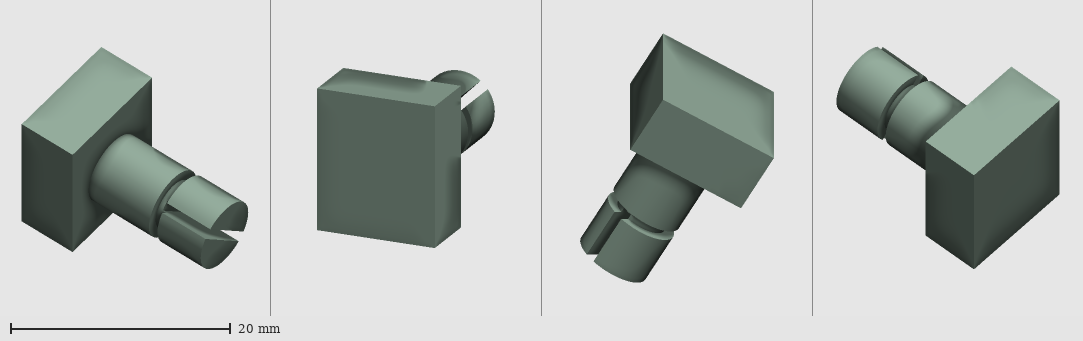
import cadquery as cq

total_length = 18.9
block_length = 5.9
block_width = 11.7
block_height = 13.75
block_rise = 0.38

pin_diameter = 7.0
neck_diameter = 5.0
neck_length = 1.0
head_length = 5.0

slot_width = 1.0
slot_tilt = 45.0

head_start = total_length - head_length
neck_start = head_start - neck_length
slot_start = head_start - neck_length / 2


def cylinder(start, end, diameter):
    """Cylinder on the pin axis between two X positions."""
    return cq.Workplane("YZ", origin=(start, 0, 0)).circle(diameter / 2).extrude(end - start)


block = cq.Workplane("XY").box(block_length, block_width, block_height).translate(
    (block_length / 2, 0, block_rise)
)
shank = cylinder(block_length, neck_start, pin_diameter)
neck = cylinder(neck_start, head_start, neck_diameter)
head = cylinder(head_start, total_length, pin_diameter)

slot = (
    cq.Workplane("YZ", origin=(slot_start, 0, 0))
    .rect(slot_width, 2 * pin_diameter)
    .extrude(total_length - slot_start)
    .rotate((0, 0, 0), (1, 0, 0), slot_tilt)
)

result = block.union(shank).union(neck).union(head).cut(slot)